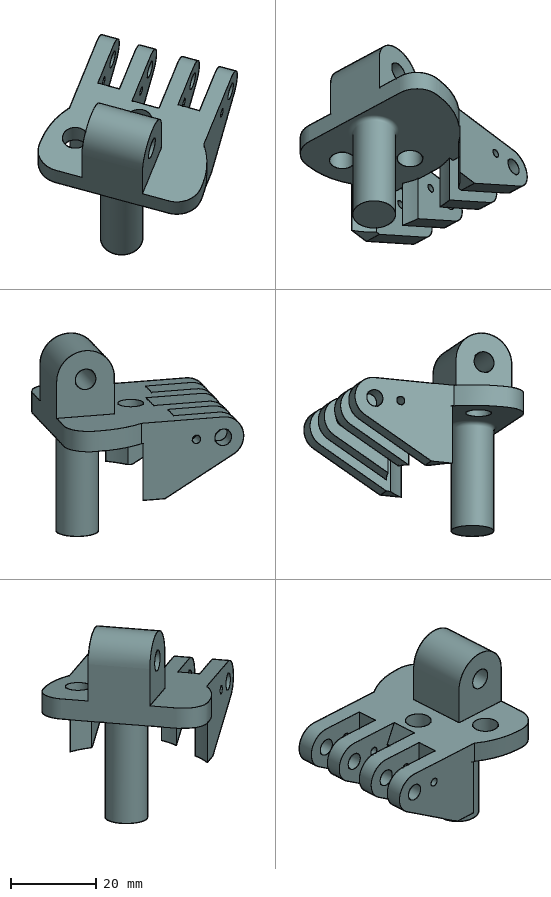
import cadquery as cq
import math


plate_thickness = 5.0
plate_radius = 20.0
plate_corner_radius = 6.0
plate_front_y = -7.0
plate_back_y = 20.05

lug_width = 15.0
lug_radius = -plate_front_y
lug_hole_diameter = 5.0
lug_height = 16.05

pin_diameter = 10.03
overall_height = 46.2
pin_length = overall_height - plate_thickness - lug_height
pin_fillet = 0.95

overall_depth = 43.0
fin_tip_radius = plate_thickness
fin_tip_y = overall_depth + plate_front_y - fin_tip_radius
fin_depth = 13.95
fin_slope = math.radians(30)
outer_fin_edges = (12.55, 16.65)
inner_fin_edges = (3.33, 7.25)
fin_clearance_radius = 20.2
fin_hole_diameter = 4.0
fin_small_hole_diameter = 2.0
fin_hole_spacing = 6.5

bevel_run = 2.35

plate_hole_diameter = 6.0
plate_hole_centers = [(0, 13.05), (-12.55, 3.33)]


def box(x_range, y_range, z_range):
    """Box spanning the given ranges."""
    lows, highs = zip(x_range, y_range, z_range)
    sizes = [high - low for low, high in zip(lows, highs)]
    return cq.Workplane("XY").box(*sizes, centered=False).translate(lows)


def cross_hole(diameter, y, z):
    """Cylinder along X, longer than the part is wide."""
    return cq.Workplane("YZ").center(y, z).circle(diameter / 2).extrude(plate_radius, both=True)


def make_plate():
    """Round-sided plate with rounded front corners, narrowing to the fins at the back."""
    half_width = outer_fin_edges[1]
    shoulder_y = math.sqrt(plate_radius**2 - half_width**2)
    corner_y = plate_front_y + plate_corner_radius
    corner_x = plate_radius - plate_corner_radius
    arc_mid_angle = math.atan2(shoulder_y, half_width) / 2
    arc_mid_x = plate_radius * math.cos(arc_mid_angle)
    arc_mid_y = plate_radius * math.sin(arc_mid_angle)
    return (
        cq.Workplane("XY")
        .moveTo(-corner_x, plate_front_y)
        .lineTo(corner_x, plate_front_y)
        .radiusArc((plate_radius, corner_y), -plate_corner_radius)
        .lineTo(plate_radius, 0)
        .threePointArc((arc_mid_x, arc_mid_y), (half_width, shoulder_y))
        .lineTo(half_width, plate_back_y)
        .lineTo(-half_width, plate_back_y)
        .lineTo(-half_width, shoulder_y)
        .threePointArc((-arc_mid_x, arc_mid_y), (-plate_radius, 0))
        .lineTo(-plate_radius, corner_y)
        .radiusArc((-corner_x, plate_front_y), -plate_corner_radius)
        .close()
        .extrude(plate_thickness)
    )


def make_bevel_cut():
    """Wedge that slopes the plate's back edge between the inner fins."""
    gap = 2 * inner_fin_edges[0]
    return (
        cq.Workplane("YZ", origin=(-gap / 2, 0, 0))
        .moveTo(plate_back_y, 0)
        .lineTo(plate_back_y, plate_thickness)
        .lineTo(plate_back_y - bevel_run, plate_thickness)
        .close()
        .extrude(gap)
    )


def make_lug():
    """Upright block with a half-round top and a cross hole."""
    axis_z = plate_thickness + lug_height - lug_radius
    block = box((-lug_width / 2, lug_width / 2), (-lug_radius, lug_radius), (0, axis_z))
    top = (
        cq.Workplane("YZ", origin=(-lug_width / 2, 0, 0))
        .center(0, axis_z)
        .circle(lug_radius)
        .extrude(lug_width)
    )
    return block.union(top).cut(cross_hole(lug_hole_diameter, 0, axis_z))


def make_pin():
    """Pin flaring with a concave fillet into the underside of the plate."""
    radius = pin_diameter / 2
    return (
        cq.Workplane("XZ")
        .moveTo(0, 0)
        .lineTo(radius + pin_fillet, 0)
        .radiusArc((radius, -pin_fillet), -pin_fillet)
        .lineTo(radius, -pin_length)
        .lineTo(0, -pin_length)
        .close()
        .revolve(360, (0, 0, 0), (0, 1, 0))
    )


def make_fin(x_start, x_end):
    """Fin with a round tip and a sloped lower edge tangent to it."""
    tangent_y = fin_tip_y + fin_tip_radius * math.sin(fin_slope)
    tangent_z = -fin_tip_radius * math.cos(fin_slope)
    slope_end_y = tangent_y - (fin_depth + tangent_z) / math.tan(fin_slope)
    return (
        cq.Workplane("YZ", origin=(x_start, 0, 0))
        .moveTo(0, -fin_depth)
        .lineTo(slope_end_y, -fin_depth)
        .lineTo(tangent_y, tangent_z)
        .threePointArc((fin_tip_y + fin_tip_radius, 0), (fin_tip_y, fin_tip_radius))
        .lineTo(0, fin_tip_radius)
        .close()
        .extrude(x_end - x_start)
    )


def make_fins():
    """Four fins, cleared below the plate by a cylinder around the pin axis."""
    fins = cq.Workplane("XY")
    for inner_x, outer_x in (outer_fin_edges, inner_fin_edges):
        fins = fins.add(make_fin(inner_x, outer_x)).add(make_fin(-outer_x, -inner_x))
    fins = fins.combine()
    clearance = cq.Workplane("XY").circle(fin_clearance_radius).extrude(-fin_depth)
    small_hole_y = fin_tip_y - fin_hole_spacing
    return (
        fins.cut(clearance)
        .cut(cross_hole(fin_hole_diameter, fin_tip_y, 0))
        .cut(cross_hole(fin_small_hole_diameter, small_hole_y, 0))
    )


plate = make_plate().cut(make_bevel_cut())
plate_holes = (
    cq.Workplane("XY")
    .pushPoints(plate_hole_centers)
    .circle(plate_hole_diameter / 2)
    .extrude(plate_thickness)
)

result = plate.union(make_lug()).union(make_pin()).union(make_fins()).cut(plate_holes)